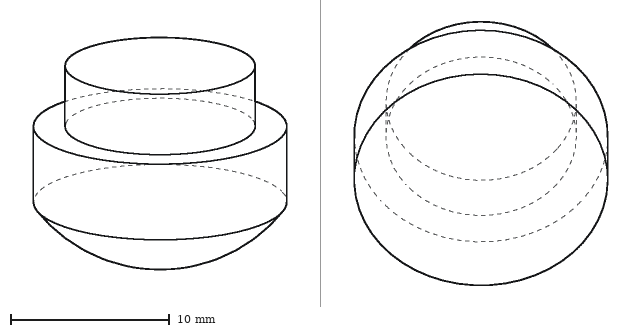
import cadquery as cq
import math

peg_diameter = 12.0
peg_height = 4.0
collar_diameter = 16.0
collar_height = 5.0
dome_radius = 10.0

peg_radius = peg_diameter / 2
collar_radius = collar_diameter / 2

collar_top = collar_height
peg_top = collar_top + peg_height

dome_center_z = math.sqrt(dome_radius**2 - collar_radius**2)
dome_bottom = dome_center_z - dome_radius

half_arc_angle = math.asin(collar_radius / dome_radius) / 2
arc_middle = (
    dome_radius * math.sin(half_arc_angle),
    dome_center_z - dome_radius * math.cos(half_arc_angle),
)

half_profile = (
    cq.Workplane("XZ")
    .moveTo(0, peg_top)
    .lineTo(peg_radius, peg_top)
    .lineTo(peg_radius, collar_top)
    .lineTo(collar_radius, collar_top)
    .lineTo(collar_radius, 0)
    .threePointArc(arc_middle, (0, dome_bottom))
    .close()
)

axis_start = (0, 0, 0)
axis_end = (0, 1, 0)
result = half_profile.revolve(360, axis_start, axis_end)